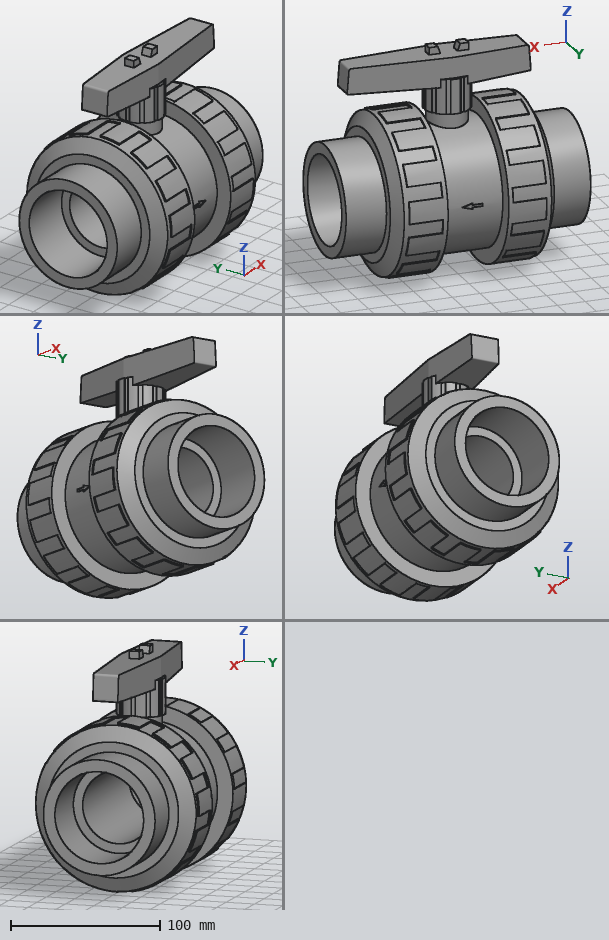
import cadquery as cq
import math

length = 176.0
half_length = length / 2

pipe_radius = 39.5
socket_radius = 31.3
socket_depth = 39.0
bore_radius = 24.8
body_radius = 46.6

nut_diameter = 115.3
nut_radius = nut_diameter / 2
nut_root_radius = 56.7
nut_face_radius = 46.3
nut_inner_x = 21.8
nut_outer_x = 59.0
nut_bevel_x = 53.0
grip_outer_x = 49.3
grip_inner_x = 25.2
grip_count = 14
grip_pitch = 360 / grip_count
notch_angle = 10.2
first_notch_angle = 18.0

arrow_tail_x = -7.0
arrow_tip_x = 7.2
arrow_shaft_half_width = 0.9
arrow_head_half_width = 2.1
arrow_height = 0.5

stem_radius = 14.3
collar_radius = 16.5
collar_bottom_z = 55.5
collar_top_z = 80.3
flute_count = 10
flute_width = 2.8
flute_depth = 0.7

handle_top_z = 95.0
handle_mid_z = 74.0
handle_end_z = 76.5
handle_short_x = 56.3
handle_long_x = 75.2
handle_half_width = 14.0
handle_taper = 4.0
handle_end_lean = 4.5
handle_lip_top_z = 78.5
handle_top_fillet = 1.8
handle_bottom_fillet = 0.9

peg_height = 5.1
peg_outer_x = 14.3
peg_top_inner_x = 8.1
peg_base_inner_x = 6.2
peg_width = 7.4


def x_cylinder(radius, x_start, x_end):
    return cq.Workplane("YZ", origin=(x_start, 0, 0)).circle(radius).extrude(x_end - x_start)


def make_nut():
    """Nut on the -X side: bevelled root body wrapped in a notched grip ring."""
    profile = [
        (-nut_outer_x, 0),
        (-nut_outer_x, nut_face_radius),
        (-nut_bevel_x, nut_root_radius),
        (-nut_inner_x, nut_root_radius),
        (-nut_inner_x, 0),
    ]
    root = cq.Workplane("XY").polyline(profile).close().revolve(360, (0, 0, 0), (1, 0, 0))
    grip = x_cylinder(nut_radius, -grip_outer_x, -nut_inner_x)

    reach = 1.1 * nut_radius
    half_span = reach * math.tan(math.radians(notch_angle / 2))
    wedge = (
        cq.Workplane("YZ", origin=(-grip_outer_x, 0, 0))
        .polyline([(0, 0), (-reach, half_span), (-reach, -half_span)])
        .close()
        .extrude(grip_outer_x - grip_inner_x)
    )
    for i in range(grip_count):
        angle = -(first_notch_angle + i * grip_pitch)
        grip = grip.cut(wedge.rotate((0, 0, 0), (1, 0, 0), angle))
    return root.union(grip)


def make_arrows():
    """Raised flow arrows on both sides of the body, pointing to +X."""
    outline = [
        (arrow_tail_x, arrow_shaft_half_width),
        (0, arrow_shaft_half_width),
        (0, arrow_head_half_width),
        (arrow_tip_x, 0),
        (0, -arrow_head_half_width),
        (0, -arrow_shaft_half_width),
        (arrow_tail_x, -arrow_shaft_half_width),
    ]
    outer_radius = body_radius + arrow_height
    shell = x_cylinder(outer_radius, arrow_tail_x, arrow_tip_x)
    shell = shell.cut(x_cylinder(bore_radius, arrow_tail_x, arrow_tip_x))
    prism = cq.Workplane("XZ").polyline(outline).close().extrude(outer_radius, both=True)
    return prism.intersect(shell)


def make_stem():
    stem = cq.Workplane("XY").circle(stem_radius).extrude(collar_top_z)
    collar = (
        cq.Workplane("XY", origin=(0, 0, collar_bottom_z))
        .circle(collar_radius)
        .extrude(collar_top_z - collar_bottom_z)
    )
    flutes = (
        cq.Workplane("XY", origin=(0, 0, collar_bottom_z))
        .polarArray(collar_radius, 0, 360, flute_count)
        .rect(2 * flute_depth, flute_width)
        .extrude(collar_top_z - collar_bottom_z)
    )
    return stem.union(collar.cut(flutes))


def make_handle():
    """Two-armed lever: side profile trimmed by a plan that tapers to both ends."""
    end_lean = (handle_top_z - handle_lip_top_z) * math.tan(math.radians(handle_end_lean))
    side = [
        (-handle_short_x, handle_end_z),
        (0, handle_mid_z),
        (handle_long_x, handle_end_z),
        (handle_long_x, handle_lip_top_z),
        (handle_long_x - end_lean, handle_top_z),
        (-handle_short_x + end_lean, handle_top_z),
        (-handle_short_x, handle_lip_top_z),
    ]
    body = cq.Workplane("XZ").polyline(side).close().extrude(handle_half_width, both=True)
    body = body.faces(">Z").edges("|Y").fillet(handle_top_fillet)
    upright_ends = body.faces("<X or >X")
    body = upright_ends.edges("<Z").fillet(handle_bottom_fillet)

    slope = math.tan(math.radians(handle_taper))
    short_half_width = handle_half_width - handle_short_x * slope
    long_half_width = handle_half_width - handle_long_x * slope
    plan = [
        (-handle_short_x, short_half_width),
        (0, handle_half_width),
        (handle_long_x, long_half_width),
        (handle_long_x, -long_half_width),
        (0, -handle_half_width),
        (-handle_short_x, -short_half_width),
    ]
    return body.intersect(cq.Workplane("XY").polyline(plan).close().extrude(handle_top_z))


def make_pegs():
    peg_top_z = handle_top_z + peg_height
    outline = [
        (peg_outer_x, handle_mid_z),
        (peg_outer_x, peg_top_z),
        (peg_top_inner_x, peg_top_z),
        (peg_base_inner_x, handle_top_z),
        (peg_base_inner_x, handle_mid_z),
    ]
    peg = cq.Workplane("XZ").polyline(outline).close().extrude(peg_width / 2, both=True)
    return peg.union(peg.mirror("YZ"))


nut = make_nut()
opposite_nut = nut.rotate((0, 0, 0), (0, 0, 1), 180)
socket = x_cylinder(socket_radius, -half_length, socket_depth - half_length)

result = (
    x_cylinder(pipe_radius, -half_length, half_length)
    .union(x_cylinder(body_radius, -nut_inner_x, nut_inner_x))
    .union(nut)
    .union(opposite_nut)
    .union(make_stem())
    .union(make_handle())
    .union(make_pegs())
    .union(make_arrows())
    .cut(x_cylinder(bore_radius, -half_length, half_length))
    .cut(socket)
    .cut(socket.mirror("YZ"))
)